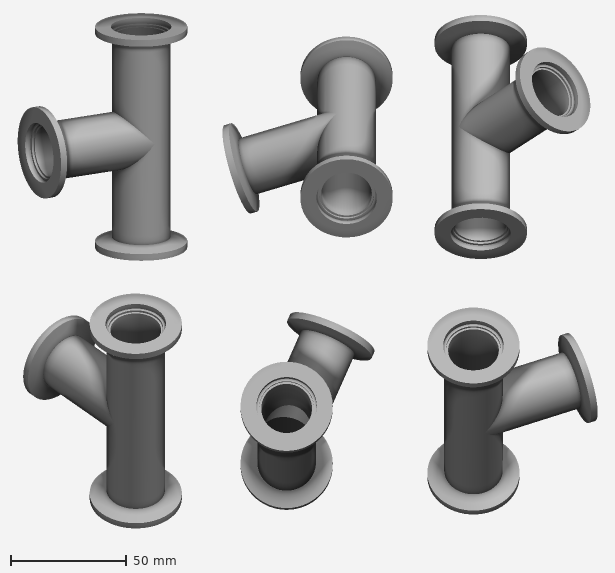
import cadquery as cq
import math

RUN_LENGTH = 100.0
BRANCH_REACH = 50.0

TUBE_OD = 25.4
TUBE_ID = 22.0

FLANGE_OD = 40.0
RIM_THICKNESS = 3.0
CONE_ANGLE = 15.0
CONE_BASE_OD = 25.7
CONE_HEIGHT = (FLANGE_OD - CONE_BASE_OD) / 2 * math.tan(math.radians(CONE_ANGLE))
FLANGE_DEPTH = RIM_THICKNESS + CONE_HEIGHT
RECESS_OD = 26.2
RECESS_DEPTH = 2.6
LIP_ID = 23.8
LIP_THICKNESS = 1.0
TUBE_INSET = RECESS_DEPTH + LIP_THICKNESS

TOP_END = cq.Plane(origin=(0, 0, RUN_LENGTH / 2), xDir=(1, 0, 0), normal=(0, 0, 1))
BOTTOM_END = cq.Plane(origin=(0, 0, -RUN_LENGTH / 2), xDir=(1, 0, 0), normal=(0, 0, -1))
BRANCH_END = cq.Plane(origin=(0, -BRANCH_REACH, 0), xDir=(1, 0, 0), normal=(0, -1, 0))


def run_cylinder(diameter):
    """Cylinder between the two tube ends of the run."""
    length = RUN_LENGTH - 2 * TUBE_INSET
    return cq.Workplane("XY").workplane(offset=-length / 2).circle(diameter / 2).extrude(length)


def branch_cylinder(diameter):
    """Cylinder from the run axis to the tube end of the branch."""
    return cq.Workplane("XZ").circle(diameter / 2).extrude(BRANCH_REACH - TUBE_INSET)


def make_run_tube():
    """Straight tube with a side opening into the branch."""
    return run_cylinder(TUBE_OD).cut(run_cylinder(TUBE_ID)).cut(branch_cylinder(TUBE_ID))


def make_branch_tube():
    """Side tube whose inner end is saddle-cut to sit on the run tube."""
    return branch_cylinder(TUBE_OD).cut(branch_cylinder(TUBE_ID)).cut(run_cylinder(TUBE_OD))


def make_flange(end):
    """Conical-backed clamp flange with a recess, a lip and a tube socket."""
    profile = [
        (RECESS_OD / 2, 0),
        (FLANGE_OD / 2, 0),
        (FLANGE_OD / 2, -RIM_THICKNESS),
        (CONE_BASE_OD / 2, -FLANGE_DEPTH),
        (TUBE_OD / 2, -FLANGE_DEPTH),
        (TUBE_OD / 2, -TUBE_INSET),
        (LIP_ID / 2, -TUBE_INSET),
        (LIP_ID / 2, -RECESS_DEPTH),
        (RECESS_OD / 2, -RECESS_DEPTH),
    ]
    ring = cq.Workplane("XZ").polyline(profile).close().revolve(360, (0, 0, 0), (0, 1, 0))
    return ring.val().moved(cq.Location(end))


run_tube = make_run_tube()
branch_tube = make_branch_tube()
flanges = [make_flange(end) for end in (TOP_END, BOTTOM_END, BRANCH_END)]

result = cq.Compound.makeCompound([run_tube.solids().val(), branch_tube.solids().val(), *flanges])